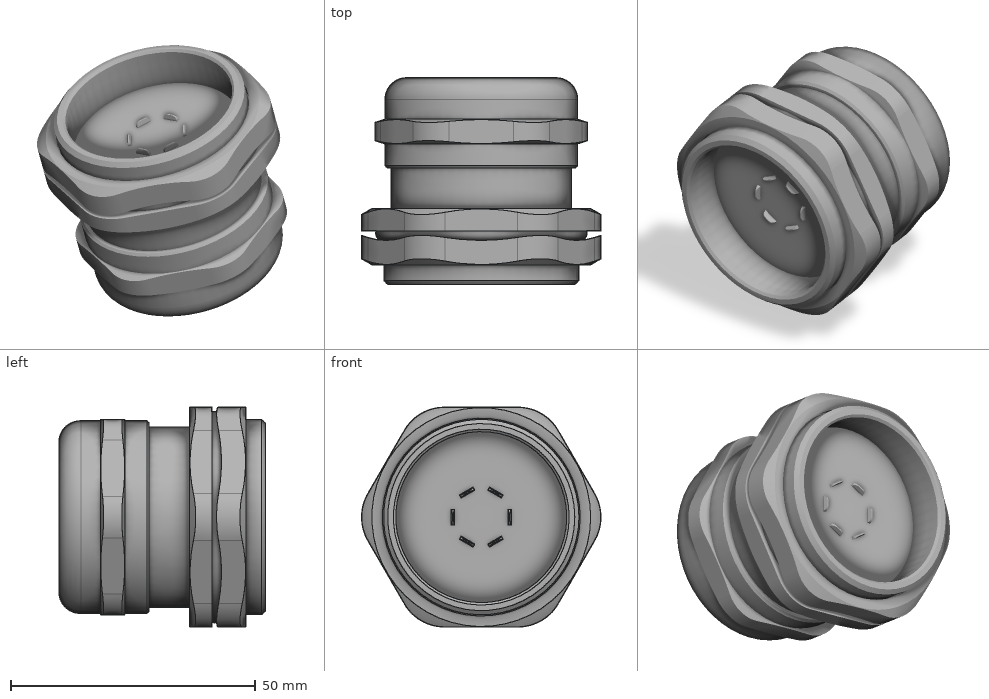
import cadquery as cq
import math


LENGTH = 42.36

THREAD_DIA = 40.0
THREAD_CHAMFER = 0.85
BORE_DIA = 35.0
BORE_DEPTH = 8.6
BORE_CHAMFER = 0.5

WRENCH_SIZE = 45.02
WRENCH_TIP_WIDTH = 49.02
HEX_FACE_DIA = 44.8
HEX_CHAMFER_SLOPE = math.tan(math.radians(30))
NUT_START = 4.05
NUT_END = 10.05
NUT_DISH_SLOPE = 0.5
NUT_GAP_DIA = 40.5
NUT_GAP_DEPTH = 2.0
BODY_HEX_START = 11.0
BODY_HEX_END = 15.55

RING_SECTION_RADIUS = 1.65
RING_CENTRE_RADIUS = THREAD_DIA / 2
RING_CENTRE_Y = 10.5

NECK_DIA = 37.0

CAP_DIA = 39.5
CAP_START = 23.85
CAP_CHAMFER = 0.5
CAP_ROUND = 4.5
CAP_HEX_SIZE = 40.0
CAP_HEX_TIP_WIDTH = 43.55
CAP_HEX_START = 28.8
CAP_HEX_END = 33.85
CAP_HEX_CHAMFER_SLOPE = 0.33

TAB_COUNT = 6
TAB_CENTRE_RADIUS = 5.8
TAB_THICKNESS = 0.7
TAB_CREST_THICKNESS = 0.25
TAB_FOOT_HEIGHT = 0.3
TAB_LENGTH = 3.2
TAB_HEIGHT = 1.2
TAB_CORNER_RADIUS = 1.1


def revolve_profile(profile):
    """Turn a closed (radius, Y) outline about the Y axis."""
    return profile.revolve(360, (0, 0, 0), (0, 1, 0))


def disc(diameter, start, end):
    """Cylinder about the Y axis between two stations."""
    return cq.Workplane("XZ", origin=(0, start, 0)).circle(diameter / 2).extrude(start - end)


def rounded_hexagon(size, tip_width, start, end):
    """Hexagonal prism with flats facing +Z and -Z and rounded corners."""
    sharp_tip = size / math.sqrt(3)
    corner_radius = (sharp_tip - tip_width / 2) / (1 / math.cos(math.pi / 6) - 1)
    prism = cq.Workplane("XZ", origin=(0, start, 0)).polygon(6, 2 * sharp_tip).extrude(start - end)
    return prism.edges("|Y").fillet(corner_radius)


def cone_limit(face_radius, tip_radius, start, end, start_drop, end_drop):
    """Turned envelope whose end faces slope from face_radius out to tip_radius."""
    profile = (
        cq.Workplane("XY")
        .moveTo(0, start)
        .lineTo(face_radius, start)
        .lineTo(tip_radius, start + start_drop)
        .lineTo(tip_radius, end - end_drop)
        .lineTo(face_radius, end)
        .lineTo(0, end)
        .close()
    )
    return revolve_profile(profile)


def make_thread():
    thread = disc(THREAD_DIA, 0, BODY_HEX_START)
    return thread.faces("<Y").chamfer(THREAD_CHAMFER)


def make_nut():
    """Lock nut: chamfered outer face, dished inner face that is highest at the corners."""
    face_radius = HEX_FACE_DIA / 2
    tip_radius = WRENCH_TIP_WIDTH / 2
    chamfer_drop = (tip_radius - face_radius) * HEX_CHAMFER_SLOPE
    thread_radius = THREAD_DIA / 2
    dish_depth = (tip_radius - thread_radius) * NUT_DISH_SLOPE
    profile = (
        cq.Workplane("XY")
        .moveTo(0, NUT_START)
        .lineTo(face_radius, NUT_START)
        .lineTo(tip_radius, NUT_START + chamfer_drop)
        .lineTo(tip_radius, NUT_END)
        .lineTo(thread_radius, NUT_END - dish_depth)
        .lineTo(0, NUT_END - dish_depth)
        .close()
    )
    hexagon = rounded_hexagon(WRENCH_SIZE, WRENCH_TIP_WIDTH, NUT_START, NUT_END)
    return hexagon.intersect(revolve_profile(profile))


def make_body_hexagon():
    face_radius = HEX_FACE_DIA / 2
    tip_radius = WRENCH_TIP_WIDTH / 2
    drop = (tip_radius - face_radius) * HEX_CHAMFER_SLOPE
    hexagon = rounded_hexagon(WRENCH_SIZE, WRENCH_TIP_WIDTH, BODY_HEX_START, BODY_HEX_END)
    return hexagon.intersect(cone_limit(face_radius, tip_radius, BODY_HEX_START, BODY_HEX_END, 0, drop))


def make_sealing_ring():
    """Ring with a half-round outside, filled in to the axis."""
    low_y = RING_CENTRE_Y - RING_SECTION_RADIUS
    high_y = RING_CENTRE_Y + RING_SECTION_RADIUS
    outer_point = (RING_CENTRE_RADIUS + RING_SECTION_RADIUS, RING_CENTRE_Y)
    profile = (
        cq.Workplane("XY")
        .moveTo(0, low_y)
        .lineTo(RING_CENTRE_RADIUS, low_y)
        .threePointArc(outer_point, (RING_CENTRE_RADIUS, high_y))
        .lineTo(0, high_y)
        .close()
    )
    return revolve_profile(profile)


def make_cap():
    cap = disc(CAP_DIA, CAP_START, LENGTH)
    cap = cap.faces("<Y").chamfer(CAP_CHAMFER)
    return cap.faces(">Y").edges().fillet(CAP_ROUND)


def make_cap_hexagon():
    face_radius = CAP_DIA / 2
    tip_radius = CAP_HEX_TIP_WIDTH / 2
    drop = (tip_radius - face_radius) * CAP_HEX_CHAMFER_SLOPE
    hexagon = rounded_hexagon(CAP_HEX_SIZE, CAP_HEX_TIP_WIDTH, CAP_HEX_START, CAP_HEX_END)
    return hexagon.intersect(cone_limit(face_radius, tip_radius, CAP_HEX_START, CAP_HEX_END, drop, drop))


def make_bore():
    bore_radius = BORE_DIA / 2
    profile = (
        cq.Workplane("XY")
        .lineTo(bore_radius + BORE_CHAMFER, 0)
        .lineTo(bore_radius, BORE_CHAMFER)
        .lineTo(bore_radius, BORE_DEPTH)
        .lineTo(0, BORE_DEPTH)
        .close()
    )
    return revolve_profile(profile)


def make_nut_gap():
    """Thin ring-shaped gap between the thread and the lock nut."""
    gap_end = NUT_START + NUT_GAP_DEPTH
    return disc(NUT_GAP_DIA, NUT_START, gap_end).cut(disc(THREAD_DIA, NUT_START, gap_end))


def make_tab(angle):
    """Thin plate on the bore floor, tapered to a narrow crest with rounded ends."""
    half_foot = TAB_THICKNESS / 2
    half_crest = TAB_CREST_THICKNESS / 2
    section = (
        cq.Workplane("XY")
        .moveTo(-half_foot, 0)
        .lineTo(-half_foot, -TAB_FOOT_HEIGHT)
        .lineTo(-half_crest, -TAB_HEIGHT)
        .lineTo(half_crest, -TAB_HEIGHT)
        .lineTo(half_foot, -TAB_FOOT_HEIGHT)
        .lineTo(half_foot, 0)
        .close()
        .extrude(TAB_LENGTH / 2, both=True)
    )
    rounded_plate = (
        cq.Workplane("XY")
        .box(TAB_THICKNESS, TAB_HEIGHT, TAB_LENGTH)
        .edges("<Y and |X")
        .fillet(TAB_CORNER_RADIUS)
        .translate((0, -TAB_HEIGHT / 2, 0))
    )
    tab = section.intersect(rounded_plate).translate((TAB_CENTRE_RADIUS, BORE_DEPTH, 0))
    return tab.rotate((0, 0, 0), (0, 1, 0), angle)


result = make_thread()
result = result.union(make_nut())
result = result.union(make_sealing_ring())
result = result.union(make_body_hexagon())
result = result.union(disc(NECK_DIA, BODY_HEX_END, CAP_START))
result = result.union(make_cap())
result = result.union(make_cap_hexagon())
result = result.cut(make_bore())
result = result.cut(make_nut_gap())
for index in range(TAB_COUNT):
    result = result.union(make_tab(index * 360 / TAB_COUNT))